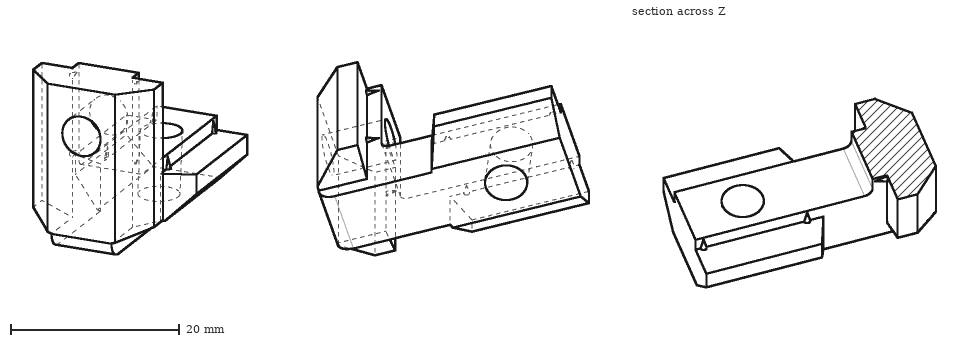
import cadquery as cq
import math


web_width = 7.85
web_thickness = 7.8
outer_corner_radius = 2.0
inner_corner_radius = 1.0

wing_width = 15.8
wing_thickness = 6.0
wing_chamfer = 3.5
wing_end_angle = 21.0

flat_arm_length = 30.0
flat_wing_start = 15.5
upright_arm_length = 21.0
upright_wing_start = 3.5

hole_diameter = 5.0
flat_hole_position = 22.75
flat_hole_tilt = 5.0
upright_hole_position = 15.0
upright_hole_tilt = 0.0

spike_radius = 0.375
spike_height = 1.5
spike_end_margin = 1.0
flat_spike_spacing = 13.0
upright_spike_spacing = 10.0


def make_web():
    """L profile in the YZ plane, with both corners rounded."""
    profile = (
        cq.Workplane("YZ")
        .polyline([
            (0, 0),
            (flat_arm_length, 0),
            (flat_arm_length, web_thickness),
            (web_thickness, web_thickness),
            (web_thickness, upright_arm_length),
            (0, upright_arm_length),
        ])
        .close()
        .extrude(web_width / 2, both=True)
    )
    rounded = profile.edges("|X and <Y and <Z").fillet(outer_corner_radius)
    inner_corner = cq.selectors.NearestToPointSelector((0, web_thickness, web_thickness))
    return rounded.edges("|X").edges(inner_corner).fillet(inner_corner_radius)


def make_wings(arm_length, wing_start):
    """Both wings of an arm lying along +Y, with chamfered bottom edges and slanted inner ends."""
    half_wing = wing_width / 2
    half_web = web_width / 2
    slant_run = (half_wing - half_web) * math.tan(math.radians(wing_end_angle))
    web_start = wing_start - slant_run
    plan = (
        cq.Workplane("XY")
        .polyline([
            (-half_wing, arm_length),
            (-half_wing, wing_start),
            (-half_web, web_start),
            (half_web, web_start),
            (half_wing, wing_start),
            (half_wing, arm_length),
        ])
        .close()
        .extrude(wing_thickness)
    )
    half_bottom = half_wing - wing_chamfer
    section = (
        cq.Workplane("XZ")
        .polyline([
            (-half_bottom, 0),
            (half_bottom, 0),
            (half_wing, wing_chamfer),
            (half_wing, wing_thickness),
            (-half_wing, wing_thickness),
            (-half_wing, wing_chamfer),
        ])
        .close()
        .extrude(-arm_length)
    )
    return plan.intersect(section)


def make_spikes(arm_length, spacing):
    """Two cones on each side of an arm lying along +Y."""
    end_position = arm_length - spike_end_margin
    spikes = cq.Workplane("XY")
    for x in (-web_width / 2, web_width / 2):
        for y in (end_position - spacing, end_position):
            base = cq.Vector(x, y, wing_thickness)
            spikes = spikes.add(cq.Solid.makeCone(spike_radius, 0, spike_height, base))
    return spikes.combine()


def make_hole(position, tilt):
    """Cylinder through an arm lying along +Y; tilt leans its lower end toward the corner."""
    reach = 2 * web_thickness
    return (
        cq.Workplane("XY")
        .workplane(offset=-reach)
        .circle(hole_diameter / 2)
        .extrude(2 * reach)
        .rotate((0, 0, 0), (1, 0, 0), -tilt)
        .translate((0, position, web_thickness))
    )


def stand_up(arm_feature):
    """Half turn about the bisector of the arms: moves a feature from the +Y arm to the +Z arm."""
    return arm_feature.rotate((0, 0, 0), (0, 1, 1), 180)


result = (
    make_web()
    .union(make_wings(flat_arm_length, flat_wing_start))
    .union(stand_up(make_wings(upright_arm_length, upright_wing_start)))
    .union(make_spikes(flat_arm_length, flat_spike_spacing))
    .union(stand_up(make_spikes(upright_arm_length, upright_spike_spacing)))
    .cut(make_hole(flat_hole_position, flat_hole_tilt))
    .cut(stand_up(make_hole(upright_hole_position, upright_hole_tilt)))
)